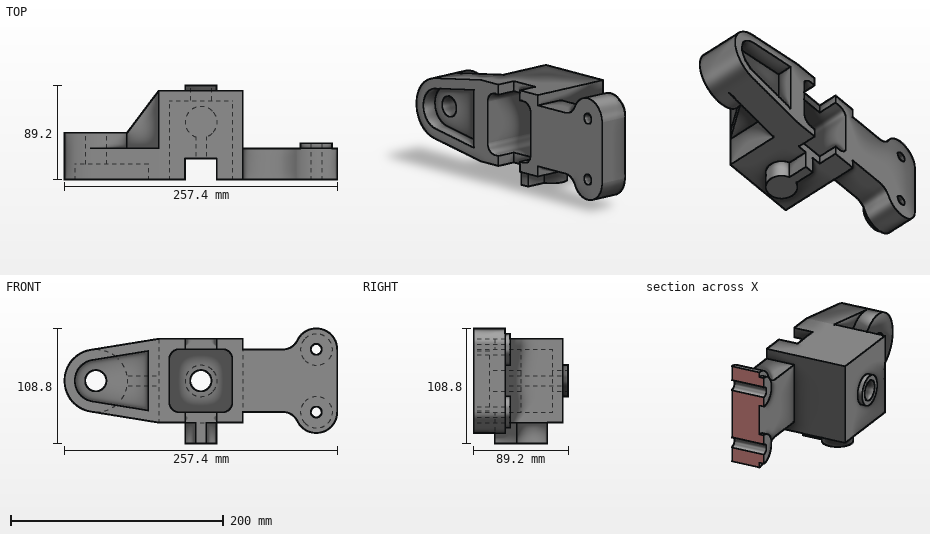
import cadquery as cq
import math

overall_length = 257.4
end_radius = 29.5
ear_radius = 19.8
ear_fillet = 15.0
arm_thickness = 29.5
end_thickness = 44.5
arm_half_height = 29.5
block_size = 79.3
block_depth = 84.2
block_x = 99.0
wall = 9.8
notch_depth = 19.8
cavity_corner = 9.8
pocket_depth = 15.0
boss_radius = 15.0
boss_height = 5.0
main_hole = 19.8
ear_hole = 10.0
lug_drop = 19.8
lug_y = 54.5

block_half = block_size / 2
block_left = block_x - block_half
block_right = block_x + block_half
cavity_size = block_size - 2 * wall
notch_width = 2 * boss_radius
ear_x = overall_length - end_radius - ear_radius
right_face = ear_x + ear_radius
rib_width = wall
overlap = wall


def extrude_y(sketch_on_xz, start, end):
    """Extrude an XZ outline between two Y positions."""
    return sketch_on_xz.extrude(-(end - start)).translate((0, start, 0))


def cylinder_y(x, z, radius, start, end):
    return extrude_y(cq.Workplane("XZ").center(x, z).circle(radius), start, end)


def box(x_range, y_range, z_range):
    ranges = (x_range, y_range, z_range)
    sizes = [high - low for low, high in ranges]
    corner = [low for low, high in ranges]
    return cq.Workplane("XY").box(*sizes, centered=False).translate(tuple(corner))


tangent_angle = math.atan2(block_half, block_left) + math.acos(
    end_radius / math.hypot(block_left, block_half)
)


def on_tangent_radius(radius):
    return radius * math.cos(tangent_angle), radius * math.sin(tangent_angle)


def tapered_outline(radius, right_x):
    """Round left end widening along its tangents to a straight right edge."""
    tangent_x, tangent_z = on_tangent_radius(radius)
    right_z = (radius - right_x * math.cos(tangent_angle)) / math.sin(tangent_angle)
    return (
        cq.Workplane("XZ")
        .moveTo(right_x, -right_z)
        .lineTo(right_x, right_z)
        .lineTo(tangent_x, tangent_z)
        .threePointArc((-radius, 0), (tangent_x, -tangent_z))
        .close()
    )


def left_arm():
    arm = extrude_y(tapered_outline(end_radius, block_left), 0, arm_thickness)
    return arm.union(cylinder_y(0, 0, end_radius, 0, end_thickness))


def right_arm():
    """Straight arm with two ears blended into it."""
    fillet_x = ear_x - math.sqrt((ear_radius + ear_fillet) ** 2 - ear_fillet**2)
    fillet_z = arm_half_height + ear_fillet
    blend_angle = math.atan2(ear_fillet, fillet_x - ear_x)
    blend_x = ear_x + ear_radius * math.cos(blend_angle)
    blend_z = arm_half_height + ear_radius * math.sin(blend_angle)
    mid_angle = (-math.pi / 2 + blend_angle - math.pi) / 2
    mid_x = fillet_x + ear_fillet * math.cos(mid_angle)
    mid_z = fillet_z + ear_fillet * math.sin(mid_angle)
    ear_top = arm_half_height + ear_radius
    outline = (
        cq.Workplane("XZ")
        .moveTo(block_x, arm_half_height)
        .lineTo(fillet_x, arm_half_height)
        .threePointArc((mid_x, mid_z), (blend_x, blend_z))
        .threePointArc((ear_x, ear_top), (right_face, arm_half_height))
        .lineTo(right_face, -arm_half_height)
        .threePointArc((ear_x, -ear_top), (blend_x, -blend_z))
        .threePointArc((mid_x, -mid_z), (fillet_x, -arm_half_height))
        .lineTo(block_x, -arm_half_height)
        .close()
    )
    return extrude_y(outline, 0, arm_thickness)


def rib():
    """Triangular web from the round end up to the back of the block."""
    profile = (
        cq.Workplane("XY")
        .moveTo(end_radius, end_thickness)
        .lineTo(block_left, block_depth)
        .lineTo(block_left + overlap, block_depth)
        .lineTo(block_left + overlap, arm_thickness - overlap)
        .lineTo(end_radius - overlap, arm_thickness - overlap)
        .lineTo(end_radius - overlap, end_thickness)
        .close()
    )
    return profile.extrude(rib_width / 2, both=True)


def lug():
    """Round post with a narrow neck toward the front, below the block."""
    bottom = -block_half - lug_drop
    top = -block_half + wall
    post = cq.Workplane("XY").center(block_x, lug_y).circle(boss_radius).extrude(top - bottom)
    neck_x = (block_x - rib_width / 2, block_x + rib_width / 2)
    neck = box(neck_x, (notch_depth, lug_y), (bottom, top))
    return post.translate((0, 0, bottom)).union(neck)


block = box((block_left, block_right), (0, block_depth), (-block_half, block_half))
body = block.union(left_arm()).union(right_arm()).union(rib()).union(lug())

body = body.union(
    cylinder_y(block_x, 0, boss_radius, block_depth - overlap, block_depth + boss_height)
)
for ear_z in (-arm_half_height, arm_half_height):
    body = body.union(
        cylinder_y(ear_x, ear_z, boss_radius, arm_thickness - overlap, arm_thickness + boss_height)
    )

cavity = box(
    (block_x - cavity_size / 2, block_x + cavity_size / 2),
    (0, block_depth - wall),
    (-cavity_size / 2, cavity_size / 2),
).edges("|Y").fillet(cavity_corner)
notch = box(
    (block_x - notch_width / 2, block_x + notch_width / 2),
    (0, notch_depth),
    (-block_half, block_half),
)
body = body.cut(cavity).cut(notch)

pocket = tapered_outline(end_radius - wall, block_left - wall)
body = body.cut(extrude_y(pocket, 0, pocket_depth))

holes = (
    (0, 0, main_hole),
    (block_x, 0, main_hole),
    (ear_x, arm_half_height, ear_hole),
    (ear_x, -arm_half_height, ear_hole),
)
for hole_x, hole_z, diameter in holes:
    body = body.cut(cylinder_y(hole_x, hole_z, diameter / 2, 0, block_depth + boss_height))

result = body